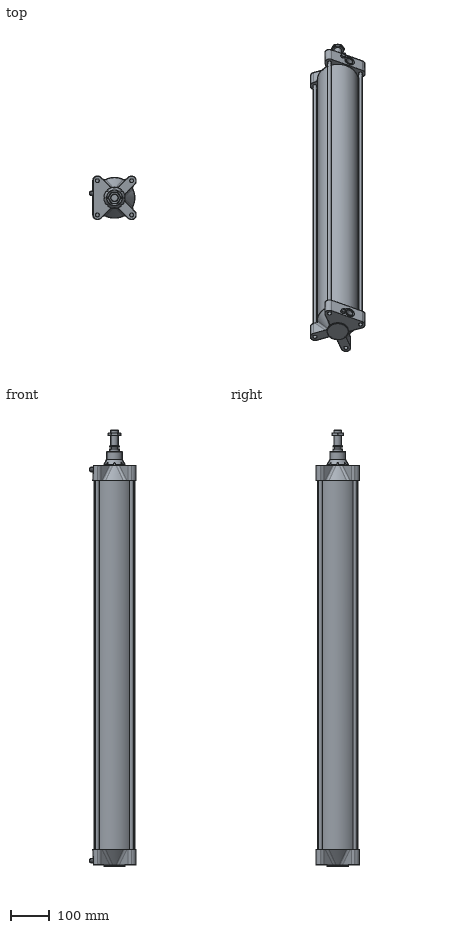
import cadquery as cq
import math


body_length = 1038.0
cap_height = 40.0
tube_d = 106.0

cap_width = 113.0
corner_radius = 12.0
arm_width = 25.0
arm_edge_radius = 12.0
pocket_fillet = 7.0
side_draft = 1.5
collar_d = 55.0
tie_rod_offset = 44.5
tie_rod_d = 10.0
mount_hole_d = 10.0
mount_hole_depth = 16.0

port_y = -8.0
port_depth_from_end = 18.5
port_d = 18.6
port_depth = 15.0
port_face_d = 27.0
port_face_depth = 2.0
screw_y = 11.5
screw_depth_from_end = 11.0
screw_collar_d = 12.0
screw_tip_d = 6.0
screw_collar_reach = 4.0
screw_reach = 9.0
screw_root = 4.0

rear_collar_height = 4.0

bearing_collar_height = 2.0
bearing_cone_height = 15.0
bearing_height = 35.5
bearing_d = 41.0
bearing_chamfer = 0.5
wiper_d = 27.0
wiper_depth = 2.0
spanner_hole_d = 5.0
spanner_hole_count = 8
spanner_hole_radius = 27.5

rod_reach = 91.0
rod_d = 25.0
rod_shoulder_height = 51.0
rod_shoulder_chamfer = 1.5
neck_d = 18.0
neck_bottom = 42.0
neck_height = 6.0
thread_d = 20.0
thread_chamfer = 1.0
rod_end_z = body_length - cap_height

nut_flats = 30.0
nut_height = 7.0
nut_top = 84.0
nut_chamfer_angle = math.radians(30)


def tie_rod_points():
    return [(x, y) for x in (-tie_rod_offset, tie_rod_offset) for y in (-tie_rod_offset, tie_rod_offset)]


def make_cap_block():
    """Square block whose -X side leans inwards towards the outer face, with rounded corners."""
    half_width = cap_width / 2
    block = (
        cq.Workplane("XZ", origin=(0, half_width, 0))
        .moveTo(half_width, 0)
        .lineTo(side_draft - half_width, 0)
        .lineTo(-half_width, -cap_height)
        .lineTo(half_width, -cap_height)
        .close()
        .extrude(cap_width)
    )
    corner_edges = block.edges("(<Y or >Y) and (not |X)")
    return corner_edges.fillet(corner_radius)


def make_pocket(angle):
    """V-shaped cutter between two arms with a flared mouth, opening at this angle from +X."""
    half_width = cap_width / 2
    apex = arm_width / math.sqrt(2)
    mouth = half_width - apex
    flare_half_angle = math.radians(45) / 2
    tangent = arm_edge_radius * math.tan(flare_half_angle)
    flank_step = tangent / math.sqrt(2)
    rounded_x = half_width - arm_edge_radius * (1 - math.cos(flare_half_angle))
    rounded_y = mouth + tangent - arm_edge_radius * math.sin(flare_half_angle)
    return (
        cq.Workplane("XY")
        .moveTo(apex, 0)
        .lineTo(half_width - flank_step, mouth - flank_step)
        .threePointArc((rounded_x, rounded_y), (half_width, mouth + tangent))
        .lineTo(half_width, -mouth - tangent)
        .threePointArc((rounded_x, -rounded_y), (half_width - flank_step, flank_step - mouth))
        .close()
        .extrude(-cap_height)
        .rotate((0, 0, 0), (0, 0, 1), angle)
    )


def make_front_cap():
    """End cap with its outer face at Z = 0 and its tube side at Z = -cap_height."""
    cap = make_cap_block()
    for angle in (-90, 0, 90):
        cap = cap.cut(make_pocket(angle))
    pocket_floor = cq.Workplane("XY", origin=(0, 0, -cap_height)).circle(tube_d / 2)
    pocket_floor = pocket_floor.workplane(offset=cap_height).circle(collar_d / 2).loft()
    cap = cap.union(pocket_floor)
    cap = cap.edges("%HYPERBOLA").fillet(pocket_fillet)
    holes = cq.Workplane("XY").pushPoints(tie_rod_points()).circle(mount_hole_d / 2)
    holes = holes.extrude(-mount_hole_depth)
    return add_port(cap.cut(holes))


def x_cylinder(diameter, x_start, length, y, z):
    """Cylinder along +X from x_start."""
    return cq.Workplane("YZ", origin=(x_start, y, z)).circle(diameter / 2).extrude(length)


def add_port(cap):
    side_x = -cap_width / 2
    port_z = -port_depth_from_end
    screw_z = -screw_depth_from_end
    cap = cap.cut(x_cylinder(port_face_d, side_x, port_face_depth, port_y, port_z))
    cap = cap.cut(x_cylinder(port_d, side_x, port_depth, port_y, port_z))
    screw = (
        cq.Workplane("XY")
        .lineTo(-screw_reach, 0)
        .lineTo(-screw_reach, screw_tip_d / 2)
        .lineTo(-screw_collar_reach, screw_collar_d / 2)
        .lineTo(screw_root, screw_collar_d / 2)
        .lineTo(screw_root, 0)
        .close()
        .revolve(360, (0, 0, 0), (1, 0, 0))
    )
    return cap.union(screw.translate((side_x, screw_y, screw_z)))


def make_bearing():
    """Rod bearing that stands on the front cap's end face at Z = 0."""
    bearing = (
        cq.Workplane("XZ")
        .lineTo(collar_d / 2, 0)
        .lineTo(collar_d / 2, bearing_collar_height)
        .lineTo(bearing_d / 2, bearing_cone_height)
        .lineTo(bearing_d / 2, bearing_height - bearing_chamfer)
        .lineTo(bearing_d / 2 - bearing_chamfer, bearing_height)
        .lineTo(wiper_d / 2, bearing_height)
        .lineTo(wiper_d / 2, bearing_height - wiper_depth)
        .lineTo(0, bearing_height - wiper_depth)
        .close()
        .revolve(360, (0, 0, 0), (0, 1, 0))
    )
    spanner_holes = (
        cq.Workplane("XY")
        .polarArray(spanner_hole_radius, 0, 360, spanner_hole_count)
        .circle(spanner_hole_d / 2)
        .extrude(bearing_cone_height)
    )
    return bearing.cut(spanner_holes)


def make_cylinder_body():
    cap = make_front_cap()
    tube_length = body_length - 2 * cap_height
    tube = cq.Workplane("XY", origin=(0, 0, cap_height)).circle(tube_d / 2).extrude(tube_length)
    tie_rods = (
        cq.Workplane("XY", origin=(0, 0, cap_height))
        .pushPoints(tie_rod_points())
        .circle(tie_rod_d / 2)
        .extrude(tube_length)
    )
    rear_collar = cq.Workplane("XY").circle(collar_d / 2).extrude(-rear_collar_height)
    body = tube.union(cap.mirror("XY")).union(cap.translate((0, 0, body_length)))
    body = body.union(tie_rods).union(rear_collar)
    body = body.union(make_bearing().translate((0, 0, body_length)))
    rod_bore = cq.Workplane("XY", origin=(0, 0, rod_end_z)).circle(rod_d / 2)
    rod_bore = rod_bore.extrude(cap_height + bearing_height)
    return body.cut(rod_bore)


def make_piston_rod():
    shank_length = body_length + rod_shoulder_height - rod_end_z
    shank = cq.Workplane("XY", origin=(0, 0, rod_end_z)).circle(rod_d / 2).extrude(shank_length)
    shank = shank.faces(">Z").chamfer(rod_shoulder_chamfer)
    neck_z = body_length + neck_bottom
    neck_ring = cq.Workplane("XY", origin=(0, 0, neck_z)).circle(rod_d).circle(neck_d / 2).extrude(neck_height)
    thread = cq.Workplane("XY", origin=(0, 0, body_length + rod_shoulder_height)).circle(thread_d / 2)
    thread = thread.extrude(rod_reach - rod_shoulder_height).faces(">Z").chamfer(thread_chamfer)
    return shank.cut(neck_ring).union(thread)


def make_lock_nut():
    across_corners = nut_flats / math.cos(math.pi / 6)
    nut_z = body_length + nut_top - nut_height
    blank = cq.Workplane("XY", origin=(0, 0, nut_z)).polygon(6, across_corners).extrude(nut_height)
    corner_excess = (across_corners - nut_flats) / 2
    chamfer_height = corner_excess * math.tan(nut_chamfer_angle)
    rounding = (
        cq.Workplane("XY", origin=(0, 0, nut_z))
        .circle(across_corners / 2)
        .extrude(nut_height)
        .faces("<Z or >Z")
        .chamfer(chamfer_height, corner_excess)
    )
    blank = blank.intersect(rounding)
    bore = cq.Workplane("XY", origin=(0, 0, nut_z)).circle(thread_d / 2).extrude(nut_height)
    return blank.cut(bore)


cylinder_body = make_cylinder_body()
piston_rod = make_piston_rod()
lock_nut = make_lock_nut()
result = cq.Compound.makeCompound([cylinder_body.val(), piston_rod.val(), lock_nut.val()])